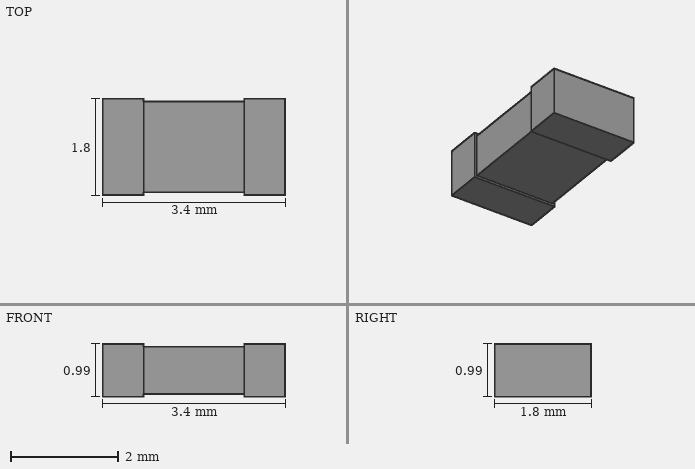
import cadquery as cq

LENGTH = 3.4
TERMINAL_WIDTH = 1.8
TERMINAL_HEIGHT = 0.99
TERMINAL_LENGTH = 0.765
STEP = 0.05

BODY_LENGTH = LENGTH - 2 * TERMINAL_LENGTH
BODY_WIDTH = TERMINAL_WIDTH - 2 * STEP
BODY_HEIGHT = TERMINAL_HEIGHT - 2 * STEP
TERMINAL_CENTER_X = (LENGTH - TERMINAL_LENGTH) / 2


def make_body():
    """Central block, butting against the inner face of each terminal."""
    return cq.Workplane("XY").box(BODY_LENGTH, BODY_WIDTH, BODY_HEIGHT)


def make_terminal(side):
    """End block; side is -1 for the -X end and +1 for the +X end."""
    terminal = cq.Workplane("XY").box(TERMINAL_LENGTH, TERMINAL_WIDTH, TERMINAL_HEIGHT)
    return terminal.translate((side * TERMINAL_CENTER_X, 0, 0))


body = make_body()
terminals = [make_terminal(side) for side in (-1, 1)]

result = cq.Compound.makeCompound([body.val(), *[terminal.val() for terminal in terminals]])